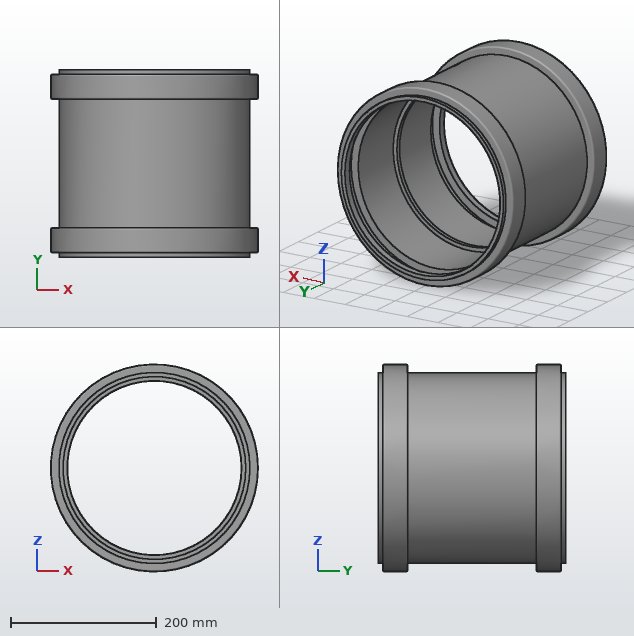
import cadquery as cq

length = 258.0
collar_radius = 284.7 / 2
tube_radius = 262.2 / 2
groove_radius = 273.5 / 2
bore_radius = 250.8 / 2
stop_radius = 239.0 / 2

collar_setback = 6.5
collar_width = 34.2
collar_edge_radius = 2.5
lip_width = 12.0
groove_width = 22.8
stop_width = 6.8

end = length / 2
collar_centre = end - collar_setback - collar_width / 2
groove_centre = end - lip_width - groove_width / 2


def cylinder(radius, centre, width):
    """Solid cylinder on the Y axis, centred lengthwise at the given Y."""
    plane = cq.Plane(origin=(0, centre - width / 2, 0), xDir=(1, 0, 0), normal=(0, 1, 0))
    return cq.Workplane(plane).circle(radius).extrude(width)


def collar(centre):
    """Raised band with rounded rims."""
    return cylinder(collar_radius, centre, collar_width).edges().fillet(collar_edge_radius)


result = cylinder(tube_radius, 0, length)
for side in (-1, 1):
    result = result.union(collar(side * collar_centre))

result = result.cut(cylinder(bore_radius, 0, length))
for side in (-1, 1):
    result = result.cut(cylinder(groove_radius, side * groove_centre, groove_width))

stop = cylinder(tube_radius, 0, stop_width).cut(cylinder(stop_radius, 0, stop_width))
result = result.union(stop)